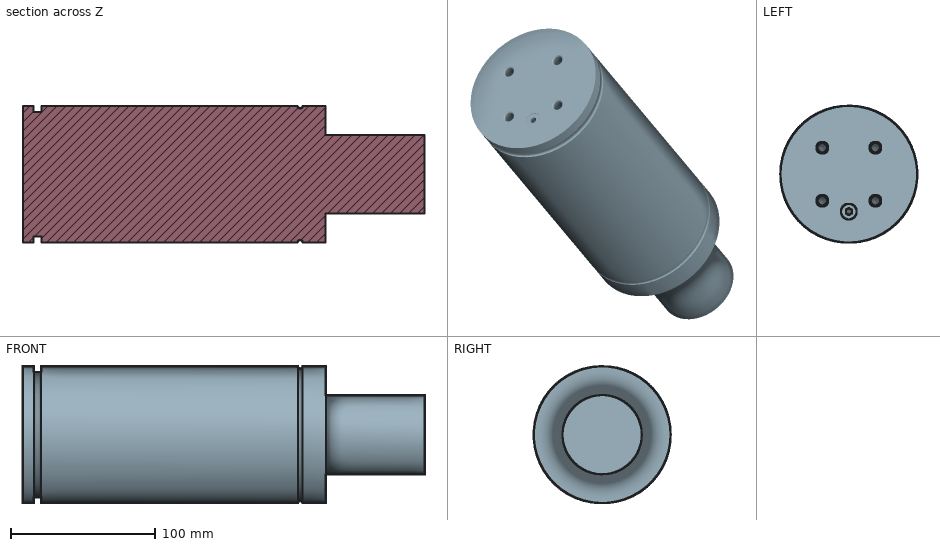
import cadquery as cq
import math

total_length = 279.0
body_length = 210.5
body_radius = 95.0 / 2
rod_radius = 55.0 / 2

retaining_groove_start = 7.8
retaining_groove_end = 12.8
retaining_groove_radius = 87.0 / 2

round_groove_start = 190.8
round_groove_width = 3.3
round_groove_depth = round_groove_width / 2

mount_spacing = 36.8
mount_diameter = 6.7
mount_mouth_diameter = 8.0
mount_depth = 14.0
drill_point_angle = 118.0

port_drop = 26.0
port_seat_diameter = 11.0
port_seat_depth = 0.3
port_socket_corner_diameter = 4.7
port_socket_depth = 4.2


def make_body():
    """Revolve the half profile, including both outer grooves, about X."""
    return (
        cq.Workplane("XY")
        .moveTo(0, 0)
        .lineTo(0, body_radius)
        .lineTo(retaining_groove_start, body_radius)
        .lineTo(retaining_groove_start, retaining_groove_radius)
        .lineTo(retaining_groove_end, retaining_groove_radius)
        .lineTo(retaining_groove_end, body_radius)
        .lineTo(round_groove_start, body_radius)
        .threePointArc(
            (round_groove_start + round_groove_width / 2, body_radius - round_groove_depth),
            (round_groove_start + round_groove_width, body_radius),
        )
        .lineTo(body_length, body_radius)
        .lineTo(body_length, rod_radius)
        .lineTo(total_length, rod_radius)
        .lineTo(total_length, 0)
        .close()
        .revolve(360, (0, 0, 0), (1, 0, 0))
    )


def make_mount_hole(y, z):
    """Cutter for a countersunk hole with a conical drill tip."""
    radius = mount_diameter / 2
    mouth_radius = mount_mouth_diameter / 2
    countersink_depth = mouth_radius - radius
    tip_length = radius / math.tan(math.radians(drill_point_angle / 2))
    return (
        cq.Workplane("XY")
        .moveTo(0, 0)
        .lineTo(0, mouth_radius)
        .lineTo(countersink_depth, radius)
        .lineTo(mount_depth, radius)
        .lineTo(mount_depth + tip_length, 0)
        .close()
        .revolve(360, (0, 0, 0), (1, 0, 0))
        .translate((0, y, z))
    )


def make_port():
    """Cutter for the filling port below the part axis."""
    rear_plane = cq.Workplane("YZ").center(0, -port_drop)
    seat = rear_plane.circle(port_seat_diameter / 2).extrude(port_seat_depth)
    socket = (
        rear_plane
        .transformed(rotate=(0, 0, 90))
        .polygon(6, port_socket_corner_diameter)
        .extrude(port_socket_depth)
    )
    return seat.union(socket)


result = make_body()
for y_side in (-1, 1):
    for z_side in (-1, 1):
        mount_hole = make_mount_hole(y_side * mount_spacing / 2, z_side * mount_spacing / 2)
        result = result.cut(mount_hole)
result = result.cut(make_port())